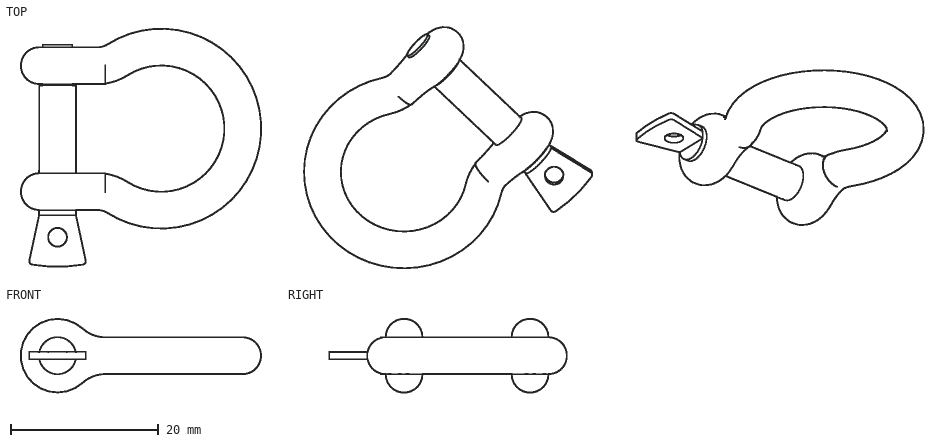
import cadquery as cq
import math


BAR_DIAMETER = 5.0
BAR_RADIUS = BAR_DIAMETER / 2
BOW_CENTER_X = 14.0
BOW_RADIUS = 11.0
LEG_SPACING = 17.0
LEG_Y = LEG_SPACING / 2
BEND_RADIUS = 5.0

EYE_RADIUS = 5.0
EYE_CORE_RADIUS = EYE_RADIUS - BAR_RADIUS
NECK_BLEND_RADIUS = 4.5

PIN_RADIUS = 2.5
PIN_TIP_RADIUS = 2.0
PIN_HEAD_Y = -11.66
PIN_SHANK_LENGTH = 17.5
PIN_LENGTH = 23.0

HANDLE_LENGTH = 7.0
HANDLE_END_WIDTH = 8.0
HANDLE_THICKNESS = 1.0
HANDLE_END_ARC_RADIUS = 20.0
HANDLE_CORNER_RADIUS = 0.5
HANDLE_HOLE_DIAMETER = 2.5
HANDLE_HOLE_OFFSET = 3.0

bend_center_y = LEG_Y + BEND_RADIUS
bend_angle = math.acos(bend_center_y / (BOW_RADIUS + BEND_RADIUS))
leg_end_x = BOW_CENTER_X - (BOW_RADIUS + BEND_RADIUS) * math.sin(bend_angle)

blend_center_z = BAR_RADIUS + NECK_BLEND_RADIUS
blend_reach = EYE_RADIUS + NECK_BLEND_RADIUS
neck_end_x = math.sqrt(blend_reach**2 - blend_center_z**2)
blend_angle = math.degrees(math.acos(blend_center_z / blend_reach))


def bow_point(angle):
    """Point on the bow circle, at an angle turned from +Y toward -X."""
    return (BOW_CENTER_X - BOW_RADIUS * math.sin(angle), BOW_RADIUS * math.cos(angle))


def bend_point(angle, side):
    """Point on a bend arc, at an angle turned from the leg end; side is +1 or -1 in Y."""
    x = leg_end_x + BEND_RADIUS * math.sin(angle)
    y = bend_center_y - BEND_RADIUS * math.cos(angle)
    return (x, side * y)


def make_bow():
    """Round bar swept along both legs, both bends and the bow."""
    join_x, join_y = bow_point(bend_angle)
    path = (
        cq.Workplane("XY")
        .moveTo(0, LEG_Y)
        .lineTo(leg_end_x, LEG_Y)
        .threePointArc(bend_point(bend_angle / 2, 1), (join_x, join_y))
        .threePointArc((BOW_CENTER_X + BOW_RADIUS, 0), (join_x, -join_y))
        .threePointArc(bend_point(bend_angle / 2, -1), (leg_end_x, -LEG_Y))
        .lineTo(0, -LEG_Y)
    )
    return cq.Workplane("YZ").center(LEG_Y, 0).circle(BAR_RADIUS).sweep(path)


def make_eye(y):
    """Disc with a full-round rim, its axis along Y."""
    return (
        cq.Workplane("XY")
        .moveTo(0, y - BAR_RADIUS)
        .lineTo(EYE_CORE_RADIUS, y - BAR_RADIUS)
        .threePointArc((EYE_RADIUS, y), (EYE_CORE_RADIUS, y + BAR_RADIUS))
        .lineTo(0, y + BAR_RADIUS)
        .close()
        .revolve(360, (0, 0, 0), (0, 1, 0))
    )


def make_neck(y):
    """Web that fills the concave blend between eye and leg, with full-round edges."""
    inner_z = blend_center_z - blend_reach
    sector = (
        cq.Workplane("YZ", origin=(neck_end_x, y, 0))
        .moveTo(-BAR_RADIUS, inner_z)
        .lineTo(-BAR_RADIUS, 0)
        .threePointArc((0, BAR_RADIUS), (BAR_RADIUS, 0))
        .lineTo(BAR_RADIUS, inner_z)
        .close()
        .revolve(blend_angle, (0, blend_center_z, 0), (1, blend_center_z, 0))
    )
    upper_space = (
        cq.Workplane("XY", origin=(0, y, 0))
        .rect(2 * neck_end_x, 2 * BAR_DIAMETER)
        .extrude(EYE_RADIUS)
    )
    upper = sector.intersect(upper_space)
    return upper.union(upper.mirror("XY"))


def make_pin():
    """Pin along +Y that steps down to a thinner tip."""
    head_plane = cq.Workplane("XZ", origin=(0, PIN_HEAD_Y, 0))
    shank = head_plane.circle(PIN_RADIUS).extrude(-PIN_SHANK_LENGTH)
    tip = head_plane.circle(PIN_TIP_RADIUS).extrude(-PIN_LENGTH)
    return shank.union(tip)


def make_handle():
    """Flared plate with a rounded end and a cross hole."""
    end_y = PIN_HEAD_Y - HANDLE_LENGTH
    half_end = HANDLE_END_WIDTH / 2
    plate = (
        cq.Workplane("XY")
        .polyline([
            (-PIN_RADIUS, PIN_HEAD_Y),
            (PIN_RADIUS, PIN_HEAD_Y),
            (half_end, end_y),
            (-half_end, end_y),
        ])
        .close()
        .extrude(HANDLE_THICKNESS / 2, both=True)
    )
    end_round = (
        cq.Workplane("XY")
        .center(0, end_y + HANDLE_END_ARC_RADIUS)
        .circle(HANDLE_END_ARC_RADIUS)
        .extrude(HANDLE_THICKNESS / 2, both=True)
    )
    hole = (
        cq.Workplane("XY")
        .center(0, PIN_HEAD_Y - HANDLE_HOLE_OFFSET)
        .circle(HANDLE_HOLE_DIAMETER / 2)
        .extrude(HANDLE_THICKNESS, both=True)
    )
    rounded = plate.intersect(end_round)
    rounded = rounded.edges("|Z and (not >Y)").fillet(HANDLE_CORNER_RADIUS)
    return rounded.cut(hole)


shackle = make_bow()
for eye_y in (LEG_Y, -LEG_Y):
    eye = make_eye(eye_y).union(make_neck(eye_y))
    shackle = shackle.union(eye)
result = shackle.union(make_pin()).union(make_handle())